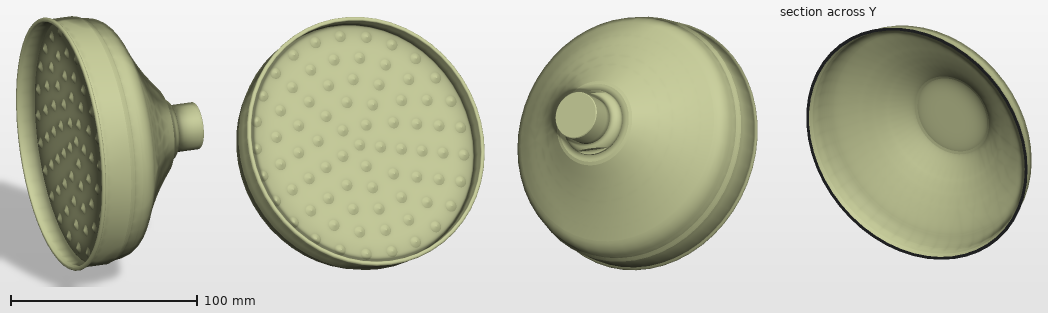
import cadquery as cq
import math

overall_diameter = 137.0
overall_length = 78.1

sheet = 1.0
rim_radius = overall_diameter / 2
rim_height = 2.2
rim_bead_radius = rim_height / 2
rim_projection = 1.3
mouth_rounding = 0.7
skirt_radius = rim_radius - rim_projection
skirt_inner_radius = skirt_radius - sheet
skirt_top = 16.7
bevel_bottom = 17.7
bevel_bottom_radius = 66.9
bevel_top = 19.3
bevel_top_radius = 66.2
band_bottom = 19.9
band_bottom_radius = 65.9
band_top = 24.1
band_top_radius = 65.2
shoulder_top = 32.6
shoulder_top_radius = 59.5
shoulder_arc_radius = 11.0
bell_top = 57.4
bell_top_radius = 23.2
bell_sag = 1.5
crown_height = 58.1
crown_radius = 21.4

plate_face = 9.9
plate_thickness = 2.7
plate_edge_rounding = 1.2
nozzle_ring_count = 5
nozzles_added_per_ring = 5
outer_ring_radius = 60.0
ring_pitch = outer_ring_radius / nozzle_ring_count
nozzle_radius = 3.2
nozzle_tip_radius = 0.4
nozzle_height = 1.4

nut_radius = 17.7
nut_top = 63.7
nut_bottom_rounding = 0.3
flat_distance = 15.2
flat_bottom = 59.6

inlet_radius = 12.7
inlet_chamfer = 0.4
nut_top_rounding = nut_radius - inlet_radius


def sag_of_arc(start, end, radius):
    """Height of an arc of the given radius above its chord."""
    half_chord = math.dist(start, end) / 2
    return radius - math.sqrt(radius**2 - half_chord**2)


def arc_middle(start, end, sag):
    """Middle of an arc that bows by `sag` to the left of its chord, or to the right if negative."""
    chord = math.dist(start, end)
    middle_x = (start[0] + end[0]) / 2 - sag * (end[1] - start[1]) / chord
    middle_y = (start[1] + end[1]) / 2 + sag * (end[0] - start[0]) / chord
    return (middle_x, middle_y)


def revolve(profile):
    """Turn a closed (radius, height) profile around the Y axis."""
    return profile.revolve(360, (0, 0, 0), (0, 1, 0))


def cylinder(radius, bottom, top):
    return revolve(cq.Workplane("XY").moveTo(0, bottom).lineTo(radius, bottom).lineTo(radius, top)
                   .lineTo(0, top).close())


def make_housing_shell():
    """The spun cup without its rolled rim, hollowed from the open -Y side."""
    band_end = (band_top_radius, band_top)
    shoulder_end = (shoulder_top_radius, shoulder_top)
    bell_end = (bell_top_radius, bell_top)
    shoulder_sag = sag_of_arc(band_end, shoulder_end, shoulder_arc_radius)
    outline = (
        cq.Workplane("XY")
        .moveTo(0, 0)
        .lineTo(skirt_radius, 0)
        .lineTo(skirt_radius, skirt_top)
        .lineTo(bevel_bottom_radius, bevel_bottom)
        .lineTo(bevel_top_radius, bevel_top)
        .lineTo(band_bottom_radius, band_bottom)
        .lineTo(*band_end)
        .threePointArc(arc_middle(band_end, shoulder_end, -shoulder_sag), shoulder_end)
        .threePointArc(arc_middle(shoulder_end, bell_end, bell_sag), bell_end)
        .lineTo(crown_radius, crown_height)
        .lineTo(0, crown_height)
        .close()
    )
    return revolve(outline).faces("<Y").shell(-sheet)


def make_rim():
    """Half-round bead around the open end of the skirt."""
    bead_centre_radius = rim_radius - rim_bead_radius
    return revolve(
        cq.Workplane("XY")
        .moveTo(skirt_inner_radius, 0)
        .lineTo(bead_centre_radius, 0)
        .threePointArc((rim_radius, rim_bead_radius), (bead_centre_radius, rim_height))
        .lineTo(skirt_inner_radius, rim_height)
        .close()
    )


def make_mouth_rounding():
    """Ring of material removed to round the inner edge of the mouth."""
    inner = skirt_inner_radius
    start = (inner + mouth_rounding, 0)
    end = (inner, mouth_rounding)
    bow = mouth_rounding * (1 - math.sqrt(0.5))
    return revolve(
        cq.Workplane("XY")
        .moveTo(inner, 0)
        .lineTo(*start)
        .threePointArc((inner + bow, bow), end)
        .close()
    )


def make_housing():
    return make_housing_shell().union(make_rim()).cut(make_mouth_rounding())


def make_nozzle():
    """One conical nozzle at the plate centre, rooted inside the plate."""
    root = plate_face + plate_thickness / 2
    tip = plate_face - nozzle_height
    return revolve(
        cq.Workplane("XY")
        .moveTo(0, root)
        .lineTo(nozzle_radius, root)
        .lineTo(nozzle_radius, plate_face)
        .lineTo(nozzle_tip_radius, tip)
        .lineTo(0, tip)
        .close()
    ).val()


def make_spray_plate():
    plate = cylinder(skirt_inner_radius, plate_face, plate_face + plate_thickness)
    plate = plate.faces("<Y").edges().fillet(plate_edge_rounding)
    centre_nozzle = make_nozzle()
    nozzles = [centre_nozzle]
    for ring in range(1, nozzle_ring_count + 1):
        ring_radius = ring * ring_pitch
        count = ring * nozzles_added_per_ring
        for index in range(count):
            angle = 2 * math.pi * index / count
            offset = cq.Vector(ring_radius * math.cos(angle), 0, ring_radius * math.sin(angle))
            nozzles.append(centre_nozzle.translate(offset))
    return cq.Workplane(plate.val().fuse(*nozzles))


def make_nut():
    nut = cylinder(nut_radius, crown_height, nut_top)
    nut = nut.faces(">Y").edges().fillet(nut_top_rounding)
    nut = nut.faces("<Y").edges().fillet(nut_bottom_rounding)
    flat_height = nut_top - flat_bottom
    flat_depth = nut_radius - flat_distance
    flat_cutter = cq.Workplane("XY").box(2 * nut_radius, flat_height, flat_depth)
    for side in (1, -1):
        flat_centre = (0, flat_bottom + flat_height / 2, side * (flat_distance + flat_depth / 2))
        nut = nut.cut(flat_cutter.translate(flat_centre))
    return nut.cut(cylinder(inlet_radius, crown_height, nut_top))


def make_inlet():
    inlet = cylinder(inlet_radius, crown_height, overall_length)
    return inlet.faces(">Y").edges().chamfer(inlet_chamfer)


housing = make_housing().solids()
spray_plate = make_spray_plate().solids()
nut = make_nut().solids()
inlet = make_inlet().solids()

result = cq.Compound.makeCompound([housing.val(), spray_plate.val(), nut.val(), inlet.val()])